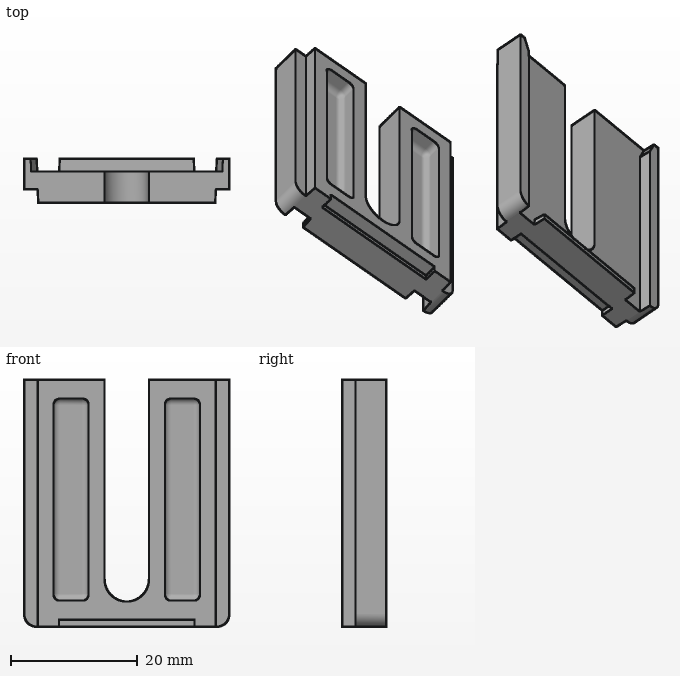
import cadquery as cq

width = 32.37
depth = 7.0
height = 39.0
corner_radius = 2.03

step_depth = 2.1
plate_back = 4.95
draft = 0.1
step_width = 2.22
notch_width = 21.37
notch_height = 1.17

lip_width = 2.1
lead_in_width = 0.98
lead_in_height = 2.4

rib_width = notch_width
rib_height = notch_height

slot_width = 6.95
slot_bottom = 4.0

pocket_width = 5.55
pocket_center = 8.78
pocket_bottom = 4.15
pocket_top = 36.0
pocket_depth = 3.0
pocket_radius = 1.0

overshoot = 0.4


def make_plate():
    """Full-height plate with stepped sides and a lip along each rear side."""
    half = width / 2
    front_half = half - step_width
    lip_inner = half - lip_width
    right_side = [
        (front_half, 0),
        (front_half + draft, step_depth),
        (half, step_depth),
        (half, depth),
        (lip_inner + draft, depth),
        (lip_inner, plate_back),
    ]
    left_side = [(-x, y) for x, y in reversed(right_side)]
    plate = cq.Workplane("XY").polyline(right_side + left_side).close().extrude(height)
    bottom_corners = cq.selectors.BoxSelector(
        (-half - overshoot, 0, -overshoot), (half + overshoot, depth, overshoot)
    )
    outer_edges = plate.edges("|Y").edges("<X or >X").edges(bottom_corners)
    return outer_edges.fillet(corner_radius)


def make_lead_in(side):
    """Wedge that thins the top of one lip, parallel to its drafted inner face."""
    inner = width / 2 - lip_width

    def section(y, lean):
        edge = inner + lean
        points = [
            (side * (edge - overshoot), height - lead_in_height),
            (side * edge, height - lead_in_height),
            (side * (edge + lead_in_width), height),
            (side * (edge - overshoot), height),
        ]
        wire = cq.Workplane("XZ", origin=(0, y, 0)).polyline(points).close()
        return wire.val()

    return cq.Workplane(cq.Solid.makeLoft([section(plate_back, 0), section(depth, draft)], True))


def make_drafted_bar(base_y, base_size, tip_y, tip_size):
    """Bar on the bottom edge whose ends and upper face lean between two Y planes."""

    def section(y, size):
        bar_width, bar_height = size
        outline = cq.Workplane("XZ", origin=(0, y, bar_height / 2)).rect(bar_width, bar_height)
        return outline.wires().val()

    return cq.Workplane(cq.Solid.makeLoft([section(base_y, base_size), section(tip_y, tip_size)], True))


def make_slot():
    """Round-bottomed slot through the full thickness."""
    radius = slot_width / 2
    arc_z = slot_bottom + radius
    return (
        cq.Workplane("XZ")
        .moveTo(-radius, height)
        .lineTo(-radius, arc_z)
        .threePointArc((0, slot_bottom), (radius, arc_z))
        .lineTo(radius, height)
        .close()
        .extrude(-depth)
    )


def make_pocket(x):
    """Blind front pocket with rounded corners and a rounded floor edge."""
    return (
        cq.Workplane("XZ", origin=(x, 0, (pocket_bottom + pocket_top) / 2))
        .rect(pocket_width, pocket_top - pocket_bottom)
        .extrude(-pocket_depth)
        .edges("|Y or >Y")
        .fillet(pocket_radius)
    )


full_rib = (rib_width, rib_height)
tapered_rib = (rib_width - 2 * draft, rib_height - draft)
rib = make_drafted_bar(plate_back, full_rib, depth, tapered_rib)

front_notch = (notch_width, notch_height)
inner_notch = (notch_width, notch_height - draft)
notch = make_drafted_bar(0, front_notch, step_depth, inner_notch)

result = make_plate().union(rib).cut(notch).cut(make_slot())
for side in (-1, 1):
    result = result.cut(make_lead_in(side))
    result = result.cut(make_pocket(side * pocket_center))